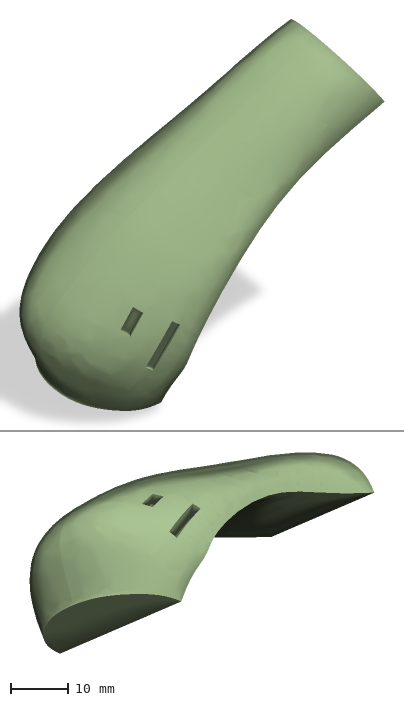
import cadquery as cq


UPPER_END = dict(chord=(66.6, 41.05), crown=(61.3, 50.1), half=12.45, shoulder=(0.72, 0.71))
NECK = dict(chord=(46.45, 33.6), crown=(42.6, 42.2), half=13.3, shoulder=(0.74, 0.67))
WAIST = dict(chord=(30.65, 24.25), crown=(25.25, 33.8), half=16.3, shoulder=(0.66, 0.66))
KNUCKLE = dict(chord=(19.45, 12.5), crown=(7.2, 22.05), half=18.4, shoulder=(0.65, 0.72))
BEND = dict(chord=(18.25, 9.5), crown=(0.85, 15.0), half=18.05, shoulder=(0.69, 0.7))
HEEL = dict(chord=(17.0, 6.7), crown=(0.85, 6.7), half=17.2, shoulder=(0.72, 0.68))
FOOT = dict(chord=(15.4, 0.25), crown=(3.0, 0.0), half=14.65, shoulder=(0.74, 0.65))

SECTIONS = [UPPER_END, NECK, WAIST, KNUCKLE, BEND, HEEL, FOOT]

POCKET_OUTWARD = (0.71, -0.55, 0.43)
POCKET_LENGTHWISE = (0, 0.43, 0.55)
POCKET_DEPTH = 2.65
CUTTER_CLEARANCE = 2.0
SHORT_POCKET = dict(center=(12.05, 10.85, 19.25), length=4.7, width=2.05)
LONG_POCKET = dict(center=(16.3, 14.45, 14.85), length=9.6, width=1.6)
POCKETS = [SHORT_POCKET, LONG_POCKET]

ACROSS = cq.Vector(1, 0, 0)


def section_wire(chord, crown, half, shoulder):
    """Closed D-shaped outline standing in the plane through chord and crown."""
    rise = cq.Vector(0, crown[0] - chord[0], crown[1] - chord[1])
    chord_middle = cq.Vector(0, *chord)
    shoulder_width, shoulder_height = shoulder

    left_end = chord_middle - ACROSS * half
    left_shoulder = chord_middle - ACROSS * (half * shoulder_width) + rise * shoulder_height
    crown_top = chord_middle + rise

    left_side = cq.Edge.makeSpline(
        [left_end, left_shoulder, crown_top],
        tangents=[rise.normalized(), ACROSS],
    )
    right_side = left_side.mirror("YZ")
    underside = cq.Edge.makeLine(left_end, chord_middle + ACROSS * half)
    return cq.Wire.assembleEdges([left_side, right_side, underside])


grip = cq.occ_impl.shapes.loft(
    [section_wire(**section) for section in SECTIONS],
    cap=True,
    parametrization="chordal",
)


def cut_pocket(body, center, length, width):
    """Cut a blind rectangular pocket into the skin around the point center."""
    mouth = cq.Plane(origin=center, xDir=POCKET_LENGTHWISE, normal=POCKET_OUTWARD)
    cutter = (
        cq.Workplane(mouth)
        .workplane(offset=-POCKET_DEPTH)
        .rect(length, width)
        .extrude(POCKET_DEPTH + CUTTER_CLEARANCE)
    )
    return body.cut(cutter)


pocketed_grip = cq.Workplane("XY").newObject([grip])
for pocket in POCKETS:
    pocketed_grip = cut_pocket(pocketed_grip, **pocket)

result = pocketed_grip.solids()